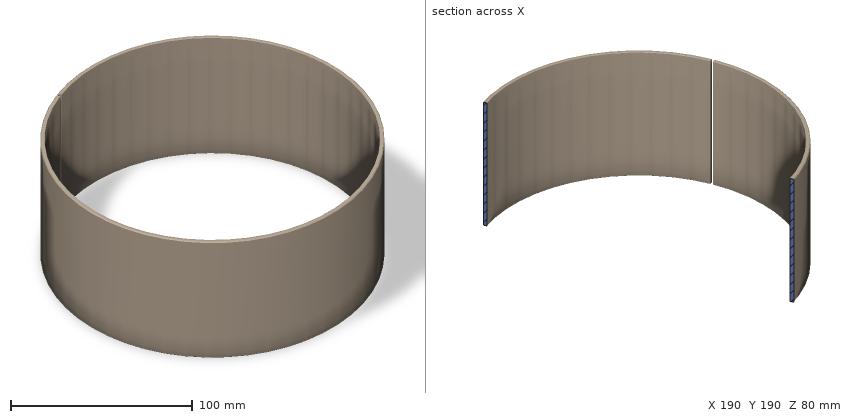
import cadquery as cq

outer_diameter = 190.0
wall_thickness = 2.5
height = 80.0
outer_chamfer = 0.5
inner_chamfer = 0.2
gap_angle = 1.0

outer_radius = outer_diameter / 2
inner_radius = outer_radius - wall_thickness

wall_section = (
    cq.Workplane("XZ")
    .moveTo(-inner_radius - inner_chamfer, 0)
    .lineTo(-inner_radius, inner_chamfer)
    .lineTo(-inner_radius, height - inner_chamfer)
    .lineTo(-inner_radius - inner_chamfer, height)
    .lineTo(-outer_radius + outer_chamfer, height)
    .lineTo(-outer_radius, height - outer_chamfer)
    .lineTo(-outer_radius, outer_chamfer)
    .lineTo(-outer_radius + outer_chamfer, 0)
    .close()
)

result = wall_section.revolve(360 - gap_angle, (0, 0, 0), (0, 1, 0))